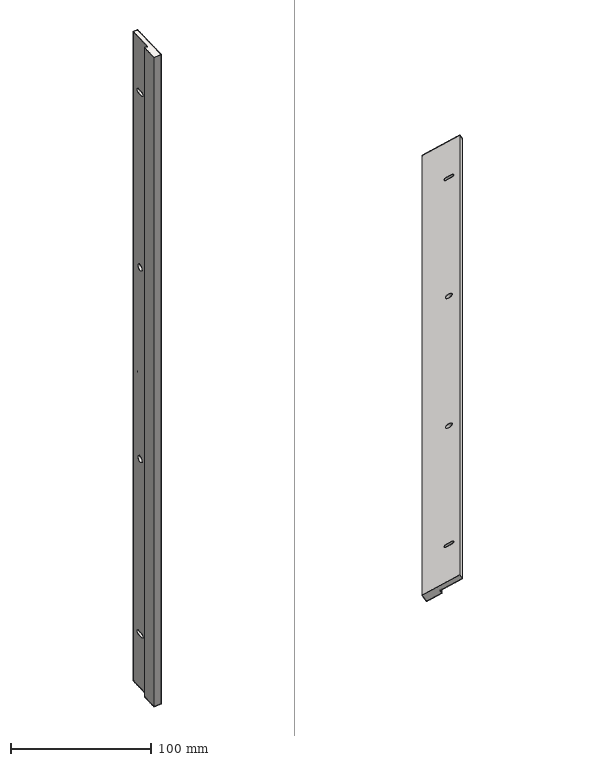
import cadquery as cq

length = 613.5
width = 32.0
rib_thickness = 6.0
flange_thickness = 3.5
flange_width = 19.0

hole_inset = 9.0
hole_x = hole_inset - width / 2
hole_diameter = 5.5
hole_spacing = 181.0
slot_length = 8.0
slot_height = 3.5
slot_spacing = 511.5


def bar():
    """Stepped cross-section extruded along Z, with its flat back on +Y."""
    left = -width / 2
    right = width / 2
    step = left + flange_width
    back = rib_thickness / 2
    rib_front = -rib_thickness / 2
    flange_front = back - flange_thickness
    outline = [
        (left, back),
        (right, back),
        (right, rib_front),
        (step, rib_front),
        (step, flange_front),
        (left, flange_front),
    ]
    return cq.Workplane("XY").polyline(outline).close().extrude(length / 2, both=True)


def mirrored_points(spacing):
    """A pair of places on the hole line, equally far from mid-length."""
    return [(hole_x, -spacing / 2), (hole_x, spacing / 2)]


def round_holes():
    """Round cutters running through the full thickness."""
    points = mirrored_points(hole_spacing)
    return cq.Workplane("XZ").pushPoints(points).circle(hole_diameter / 2).extrude(rib_thickness, both=True)


def slots():
    """Round-ended cutters, long across the bar, running through the full thickness."""
    points = mirrored_points(slot_spacing)
    return cq.Workplane("XZ").pushPoints(points).slot2D(slot_length, slot_height).extrude(rib_thickness, both=True)


result = bar().cut(round_holes()).cut(slots())